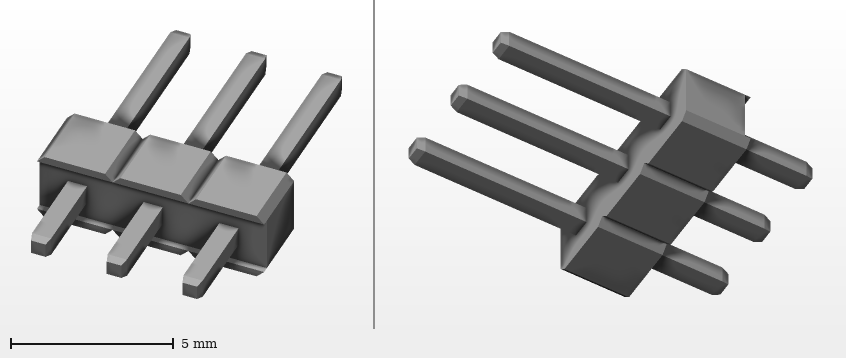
import cadquery as cq

module_count = 3
row_length = 7.61
pitch = row_length / module_count

cell_height = 2.4
cell_depth = 2.3
edge_chamfer = 0.25
recess_depth = 0.21

pin_length = 11.1
pin_width = 0.64
front_pin_length = 2.8
tip_length = 0.25
tip_width = 0.49

pin_front = -pin_length / 2
pin_back = pin_length / 2
cell_front = pin_front + front_pin_length
cell_back = cell_front + cell_depth


def make_cell():
    """Housing block with chamfered long edges and a recess across its front face."""
    block = (
        cq.Workplane("XY")
        .box(pitch, cell_depth, cell_height)
        .edges("|Y")
        .chamfer(edge_chamfer)
        .translate((0, (cell_front + cell_back) / 2, 0))
    )
    recess_height = cell_height - 2 * edge_chamfer
    recess = (
        cq.Workplane("XY")
        .box(pitch, recess_depth, recess_height)
        .translate((0, cell_front + recess_depth / 2, 0))
    )
    return block.cut(recess)


def make_tip(base_y, end_y):
    """Tapered pin end, from the full section at base_y to the small end at end_y."""
    return (
        cq.Workplane("XZ", origin=(0, base_y, 0))
        .rect(pin_width, pin_width)
        .workplane(offset=base_y - end_y)
        .rect(tip_width, tip_width)
        .loft(ruled=True)
    )


def make_pin():
    """Square pin with a tapered tip at both ends."""
    shank = cq.Workplane("XY").box(pin_width, pin_length - 2 * tip_length, pin_width)
    front_tip = make_tip(pin_front + tip_length, pin_front)
    back_tip = make_tip(pin_back - tip_length, pin_back)
    return shank.union(front_tip).union(back_tip)


def make_module(center_x):
    """One housing cell and its pin as a single solid."""
    return make_cell().union(make_pin()).translate((center_x, 0, 0))


modules = []
for index in range(module_count):
    center_x = (index - (module_count - 1) / 2) * pitch
    modules.append(make_module(center_x).val())

result = cq.Compound.makeCompound([solid for module in modules for solid in module.Solids()])